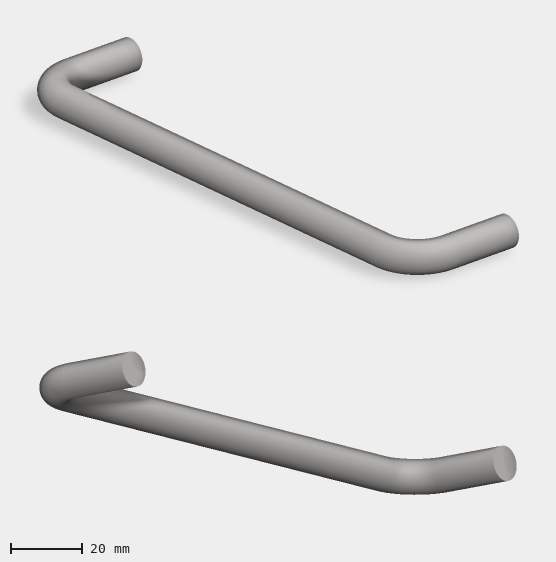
import cadquery as cq
import math

length = 170.0
height = 40.0
rod_diameter = 10.0
bend_outer_radius = 17.5

rod_radius = rod_diameter / 2
bend_radius = bend_outer_radius - rod_radius
leg_x = length / 2 - rod_radius
grip_half = leg_x - bend_radius
grip_y = rod_radius
bend_y = grip_y + bend_radius

bend_mid = bend_radius * math.sqrt(0.5)

centreline = (
    cq.Workplane("XY")
    .moveTo(-leg_x, height)
    .lineTo(-leg_x, bend_y)
    .threePointArc((-grip_half - bend_mid, bend_y - bend_mid), (-grip_half, grip_y))
    .lineTo(grip_half, grip_y)
    .threePointArc((grip_half + bend_mid, bend_y - bend_mid), (leg_x, bend_y))
    .lineTo(leg_x, height)
)

leg_end = cq.Plane(origin=(-leg_x, height, 0), xDir=(1, 0, 0), normal=(0, -1, 0))
result = cq.Workplane(leg_end).circle(rod_radius).sweep(centreline)